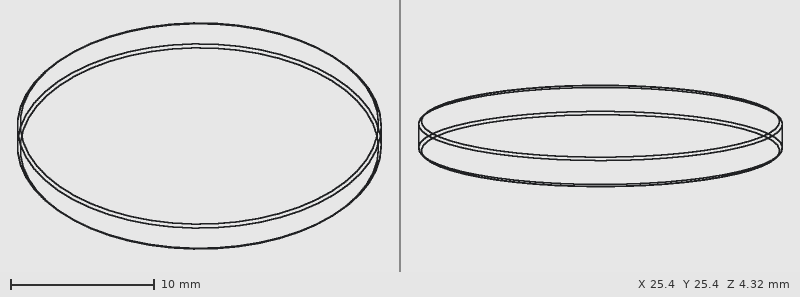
import cadquery as cq

diameter = 25.4
centre_thickness = 4.32
edge_thickness = 1.7
bevel = 0.2

rim_radius = diameter / 2
face_radius = rim_radius - bevel
apex_z = centre_thickness / 2
rim_z = edge_thickness / 2
face_edge_z = rim_z + bevel

sagitta = apex_z - face_edge_z
curvature_radius = (face_radius**2 + sagitta**2) / (2 * sagitta)

mid_radius = face_radius / 2
mid_z = apex_z - curvature_radius + (curvature_radius**2 - mid_radius**2) ** 0.5


def lens_half_section():
    """Half cross-section in the YZ plane, on the -Y side of the optical axis."""
    return (
        cq.Workplane("YZ")
        .moveTo(0, -apex_z)
        .threePointArc((-mid_radius, -mid_z), (-face_radius, -face_edge_z))
        .lineTo(-rim_radius, -rim_z)
        .lineTo(-rim_radius, rim_z)
        .lineTo(-face_radius, face_edge_z)
        .threePointArc((-mid_radius, mid_z), (0, apex_z))
        .close()
    )


result = lens_half_section().revolve(360, (0, 0, 0), (0, 1, 0))